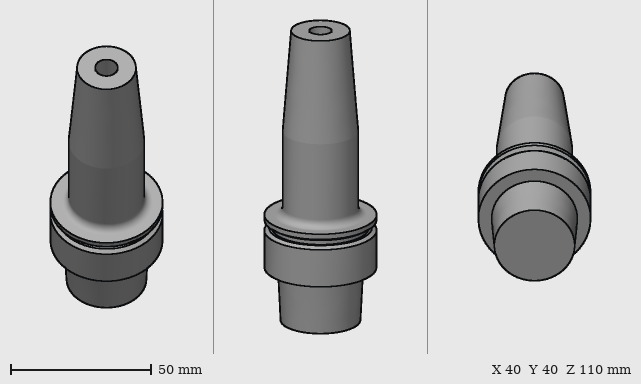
import cadquery as cq
import math


TOTAL_LENGTH = 110.0
TAPER_LENGTH = 20.0
FLANGE_TOP = 2 * TAPER_LENGTH
NOSE_LENGTH = 38.2

TAPER_END_DIAMETER = 28.6
TAPER_ROOT_DIAMETER = 30.6
FLANGE_DIAMETER = 40.0
NECK_DIAMETER = 27.1
TIP_DIAMETER = 21.0
BORE_DIAMETER = 8.0

RIM_THICKNESS = 2.0
BEVEL_HEIGHT = 1.0
BEVEL_DEPTH = 1.6
GROOVE_FLOOR_HEIGHT = 2.0
GROOVE_DEPTH = 2.6

NECK_FILLET = 3.0
BORE_DEPTH = NOSE_LENGTH


def holder_body():
    """Revolve the half outline of the holder about the Z axis."""
    flange_radius = FLANGE_DIAMETER / 2
    neck_radius = NECK_DIAMETER / 2
    bevel_radius = flange_radius - BEVEL_DEPTH
    groove_radius = flange_radius - GROOVE_DEPTH

    rim_bottom = FLANGE_TOP - RIM_THICKNESS
    groove_top = rim_bottom - BEVEL_HEIGHT
    groove_bottom = groove_top - GROOVE_FLOOR_HEIGHT
    collar_top = groove_bottom - BEVEL_HEIGHT

    fillet_centre_radius = neck_radius + NECK_FILLET
    fillet_centre_height = FLANGE_TOP + NECK_FILLET
    fillet_offset = NECK_FILLET * math.sqrt(0.5)
    fillet_middle = (fillet_centre_radius - fillet_offset, fillet_centre_height - fillet_offset)

    outline = (
        cq.Workplane("XZ")
        .lineTo(TAPER_END_DIAMETER / 2, 0)
        .lineTo(TAPER_ROOT_DIAMETER / 2, TAPER_LENGTH)
        .lineTo(flange_radius, TAPER_LENGTH)
        .lineTo(flange_radius, collar_top)
        .lineTo(bevel_radius, groove_bottom)
        .lineTo(groove_radius, groove_bottom)
        .lineTo(groove_radius, groove_top)
        .lineTo(bevel_radius, groove_top)
        .lineTo(flange_radius, rim_bottom)
        .lineTo(flange_radius, FLANGE_TOP)
        .lineTo(fillet_centre_radius, FLANGE_TOP)
        .threePointArc(fillet_middle, (neck_radius, fillet_centre_height))
        .lineTo(neck_radius, TOTAL_LENGTH - NOSE_LENGTH)
        .lineTo(TIP_DIAMETER / 2, TOTAL_LENGTH)
        .lineTo(0, TOTAL_LENGTH)
        .close()
    )
    return outline.revolve(360, (0, 0, 0), (0, 1, 0))


def tool_bore():
    """Blind, flat-bottomed bore that enters from the tip."""
    bore_floor = TOTAL_LENGTH - BORE_DEPTH
    return cq.Workplane("XY").workplane(offset=bore_floor).circle(BORE_DIAMETER / 2).extrude(BORE_DEPTH)


result = holder_body().cut(tool_bore())